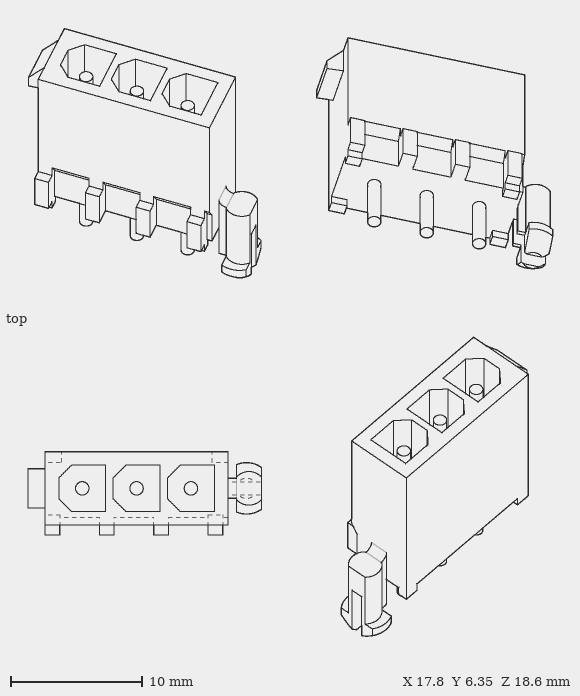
import cadquery as cq
import math


circuits = 3
pitch = 4.15
housing_length = 13.96
housing_width = 5.59
overall_height = 18.57
housing_height = 13.46
left_face = -housing_length / 2
right_face = housing_length / 2
front_face = -housing_width / 2
back_face = housing_width / 2
pin_places = [(i - (circuits - 1) / 2) * pitch for i in range(circuits)]

cavity_size = 3.57
cavity_corner = 0.98
cavity_floor = 3.85

rib_width = 1.13
rib_projection = 0.76
rib_height = 2.97
recess_depth = 0.55
recess_height = 3.85
rib_starts = [left_face + i * pitch for i in range(circuits + 1)]

foot_height = 0.75
back_foot_length = 1.25
back_foot_width = 0.82
front_foot_width = 0.76

latch_projection = 1.3
latch_width = 3.0
latch_ramp_drop = 1.65
latch_outer_drop = 2.6
latch_inner_drop = 2.47

peg_left = 7.6
peg_right = 9.53
peg_center = (peg_left + peg_right) / 2
peg_radius = 1.28
peg_top = 2.55
barb_center = 8.38
barb_radius = 1.97
barb_tip_radius = 0.78
barb_top = -2.92
barb_taper_start = -3.71
barb_tip = housing_height - overall_height
web_width = 1.55
web_fillet = peg_left - right_face
slot_width = 0.98
slot_top = 0

pin_diameter = 1.02
pin_bottom = -4.45
pin_top = 12.0


def block(x_range, y_range, z_range):
    """Box between two limits on each axis."""
    (x0, x1), (y0, y1), (z0, z1) = x_range, y_range, z_range
    return cq.Workplane("XY").box(x1 - x0, y1 - y0, z1 - z0, centered=False).translate((x0, y0, z0))


def cavity(x):
    """Square pocket with its two left corners cut off."""
    half = cavity_size / 2
    short = half - cavity_corner
    outline = [(half, -half), (half, half), (-short, half), (-half, short), (-half, -short), (-short, -half)]
    depth = housing_height - cavity_floor
    return cq.Workplane("XY", origin=(x, 0, cavity_floor)).polyline(outline).close().extrude(depth)


def rib(x_start):
    """Rib standing out from the lower front face."""
    return block(
        (x_start, x_start + rib_width),
        (front_face - rib_projection, front_face),
        (0, rib_height),
    )


def recess(x_start, x_end):
    """Front recess whose ceiling slopes down from the front face to the recess floor."""
    floor = front_face + recess_depth
    outline = [(front_face, 0), (floor, 0), (floor, rib_height), (front_face, recess_height)]
    return cq.Workplane("YZ", origin=(x_start, 0, 0)).polyline(outline).close().extrude(x_end - x_start)


def feet():
    """Four standoff feet; the front pair line up with the outer ribs."""
    height = (-foot_height, 0)
    front = (front_face, front_face + front_foot_width)
    back = (back_face - back_foot_width, back_face)
    front_feet = [block((x, x + rib_width), front, height) for x in (rib_starts[0], rib_starts[-1])]
    back_left = block((left_face, left_face + back_foot_length), back, height)
    back_right = block((right_face - back_foot_length, right_face), back, height)
    return [*front_feet, back_left, back_right]


def latch():
    """Ramp with a slightly hooked underside."""
    tip = left_face - latch_projection
    outline = [
        (left_face, housing_height),
        (tip, housing_height - latch_ramp_drop),
        (tip, housing_height - latch_outer_drop),
        (left_face, housing_height - latch_inner_drop),
    ]
    return cq.Workplane("XZ").polyline(outline).close().extrude(latch_width / 2, both=True)


def web():
    """Web from the housing to the peg, with a concave fillet at its top."""
    corner = web_fillet * (1 - math.sqrt(0.5))
    outline = (
        cq.Workplane("XZ")
        .moveTo(right_face, barb_top)
        .lineTo(peg_center, barb_top)
        .lineTo(peg_center, peg_top)
        .lineTo(right_face + web_fillet, peg_top)
        .threePointArc((right_face + corner, peg_top + corner), (right_face, peg_top + web_fillet))
        .close()
    )
    return outline.extrude(web_width / 2, both=True)


def board_lock():
    """Round peg and tapered barb trimmed flat on both sides and split by a slot."""
    peg = cq.Workplane("XY", origin=(peg_center, 0, barb_top)).circle(peg_radius).extrude(peg_top - barb_top)
    barb_profile = [
        (0, barb_top),
        (barb_radius, barb_top),
        (barb_radius, barb_taper_start),
        (barb_tip_radius, barb_tip),
        (0, barb_tip),
    ]
    barb = cq.Workplane("XZ").polyline(barb_profile).close().revolve().translate((barb_center, 0, 0))
    sides = block((peg_left, peg_right), (-barb_radius, barb_radius), (barb_tip, peg_top))
    slot = block((right_face, peg_right), (-slot_width / 2, slot_width / 2), (barb_tip, slot_top))
    return peg.union(barb).intersect(sides).union(web()).cut(slot)


def pin(x):
    """Straight round contact pin."""
    base = cq.Workplane("XY", origin=(x, 0, pin_bottom))
    return base.circle(pin_diameter / 2).extrude(pin_top - pin_bottom)


def housing(pins):
    """Moulded housing with cavities and a close hole for each pin."""
    body = block((left_face, right_face), (front_face, back_face), (0, housing_height))
    recess_ends = [*rib_starts[1:], right_face]
    for start, end in zip(rib_starts, recess_ends):
        body = body.cut(recess(start + rib_width, end))
    for start in rib_starts:
        body = body.union(rib(start))
    for part in [*feet(), latch(), board_lock()]:
        body = body.union(part)
    for x in pin_places:
        body = body.cut(cavity(x))
    for contact in pins:
        body = body.cut(contact)
    return body


pins = [pin(x) for x in pin_places]
header = housing(pins)

result = cq.Compound.makeCompound([header.val(), *[contact.val() for contact in pins]])